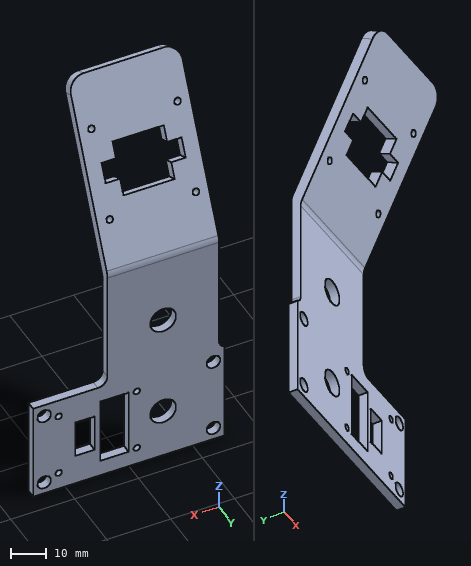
import cadquery as cq
import math

plate_width = 60.0
plate_height = 32.0
plate_thickness = 3.0

arm_left = 1.75
arm_width = 35.0
arm_right = arm_left + arm_width
arm_center_x = arm_left + arm_width / 2
neck_radius = 3.0

lean_angle = 25.0
lean_thickness = 4.0
lean_length = 60.0
back_bend_z = 72.0
bend_radius = 5.0
tip_corner_radius = 5.0

corner_hole_diameter = 4.2
corner_hole_inset_x = 3.5
corner_hole_inset_z = 4.0
large_hole_diameter = 8.0
large_hole_heights = (plate_height / 2, 49.0)
pin_hole_diameter = 2.0
pin_pattern_center_x = 39.75
pin_pattern_width = 24.5
pin_pattern_height = 20.5
tall_window_center_x = 34.5
tall_window_width = 8.8
tall_window_height = 21.4
small_window_center_x = 43.75
small_window_width = 6.0
small_window_height = 12.0

lean_openings_offset = 30.2
lean_hole_spacing = 27.0
lean_window_size = 16.0
lean_slot_width = 25.0
lean_slot_height = 6.0

lean = math.radians(lean_angle)
sin_lean = math.sin(lean)
cos_lean = math.cos(lean)

front_bend_z = back_bend_z + (plate_thickness * cos_lean - lean_thickness) / sin_lean
tip_front = (
    -plate_thickness - lean_length * sin_lean,
    front_bend_z + lean_length * cos_lean,
)
tip_back = (
    tip_front[0] + lean_thickness * cos_lean,
    tip_front[1] + lean_thickness * sin_lean,
)

cut_reach = 2 * lean_thickness

upright_plane = cq.Plane(origin=(0, 0, 0), xDir=(1, 0, 0), normal=(0, -1, 0))
lean_plane = cq.Plane(
    origin=(arm_center_x, -plate_thickness, front_bend_z),
    xDir=(1, 0, 0),
    normal=(0, -cos_lean, -sin_lean),
)


def make_plate():
    """Wide lower plate with concave fillets where the arm begins."""
    neck_top = plate_height + neck_radius
    left_center_x = arm_left - neck_radius
    left_arc_z = neck_top - math.sqrt(neck_radius**2 - left_center_x**2)
    diagonal = neck_radius * math.sqrt(0.5)
    left_mid_angle = math.atan2(left_arc_z - neck_top, -left_center_x) / 2
    left_mid = (
        left_center_x + neck_radius * math.cos(left_mid_angle),
        neck_top + neck_radius * math.sin(left_mid_angle),
    )
    right_mid = (arm_right + neck_radius - diagonal, neck_top - diagonal)
    return (
        cq.Workplane(upright_plane)
        .lineTo(plate_width, 0)
        .lineTo(plate_width, plate_height)
        .lineTo(arm_right + neck_radius, plate_height)
        .threePointArc(right_mid, (arm_right, neck_top))
        .lineTo(arm_left, neck_top)
        .threePointArc(left_mid, (0, left_arc_z))
        .close()
        .extrude(plate_thickness)
    )


def make_arm():
    """Bent arm, extruded from its side profile, with rounded bend and tip."""
    arm = (
        cq.Workplane("YZ", origin=(arm_left, 0, 0))
        .polyline(
            [
                (0, 0),
                (0, back_bend_z),
                tip_back,
                tip_front,
                (-plate_thickness, front_bend_z),
                (-plate_thickness, 0),
            ]
        )
        .close()
        .extrude(arm_width)
    )
    bend_edges = [
        arm.edges(cq.selectors.NearestToPointSelector((arm_center_x, y, z)))
        for y, z in ((0, back_bend_z), (-plate_thickness, front_bend_z))
    ]
    arm = arm.newObject([edge.val() for edge in bend_edges]).fillet(bend_radius)
    tip_y = (tip_front[0] + tip_back[0]) / 2
    tip_z = (tip_front[1] + tip_back[1]) / 2
    tip_corners = [
        arm.edges(cq.selectors.NearestToPointSelector((x, tip_y, tip_z)))
        for x in (arm_left, arm_right)
    ]
    return arm.newObject([edge.val() for edge in tip_corners]).fillet(tip_corner_radius)


def make_holes(plane, points, diameter):
    """Round cutters through the sheet at points of the given plane."""
    sketch = cq.Workplane(plane).pushPoints(points)
    return sketch.circle(diameter / 2).extrude(cut_reach, both=True)


def make_window(plane, center, width, height):
    """Rectangular cutter through the sheet."""
    sketch = cq.Workplane(plane).center(*center)
    return sketch.rect(width, height).extrude(cut_reach, both=True)


def rectangle_corners(center, width, height):
    """Corner points of a rectangular hole pattern."""
    return [
        (center[0] + side * width / 2, center[1] + end * height / 2)
        for side in (-1, 1)
        for end in (-1, 1)
    ]


def cut_upright_openings(body):
    """Mounting holes, large holes and windows of the upright section."""
    middle_z = plate_height / 2
    corner_points = rectangle_corners(
        (plate_width / 2, middle_z),
        plate_width - 2 * corner_hole_inset_x,
        plate_height - 2 * corner_hole_inset_z,
    )
    pin_points = rectangle_corners(
        (pin_pattern_center_x, middle_z), pin_pattern_width, pin_pattern_height
    )
    large_points = [(arm_center_x, height) for height in large_hole_heights]
    hole_groups = (
        (corner_points, corner_hole_diameter),
        (pin_points, pin_hole_diameter),
        (large_points, large_hole_diameter),
    )
    for points, diameter in hole_groups:
        body = body.cut(make_holes(upright_plane, points, diameter))
    windows = (
        (tall_window_center_x, tall_window_width, tall_window_height),
        (small_window_center_x, small_window_width, small_window_height),
    )
    for center_x, width, height in windows:
        body = body.cut(make_window(upright_plane, (center_x, middle_z), width, height))
    return body


def cut_lean_openings(body):
    """Cross-shaped window and its four pin holes in the leaning section."""
    center = (0, lean_openings_offset)
    pin_points = rectangle_corners(center, lean_hole_spacing, lean_hole_spacing)
    body = body.cut(make_holes(lean_plane, pin_points, pin_hole_diameter))
    body = body.cut(make_window(lean_plane, center, lean_window_size, lean_window_size))
    return body.cut(make_window(lean_plane, center, lean_slot_width, lean_slot_height))


blank = make_plate().union(make_arm())
result = cut_lean_openings(cut_upright_openings(blank))